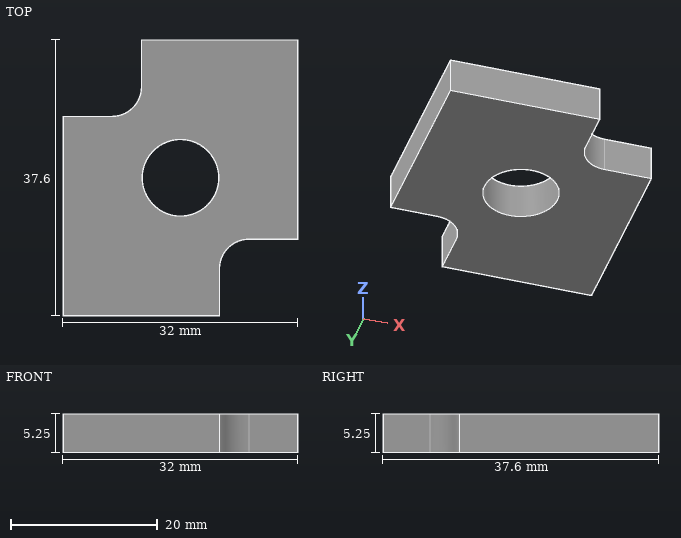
import cadquery as cq

width = 32.0
length = 37.6
thickness = 5.25

hole_diameter = 10.4

notch_width = width / 3
notch_length = 10.4
notch_radius = 4.0


def corner_notch():
    """Cutter for the -X, +Y corner, rounded at its inner corner."""
    return (
        cq.Workplane("XY")
        .box(2 * notch_width, 2 * notch_length, thickness)
        .edges("|Z")
        .edges(">X and <Y")
        .fillet(notch_radius)
        .translate((-width / 2, length / 2, 0))
    )


plate = cq.Workplane("XY").box(width, length, thickness)
plate = plate.faces(">Z").workplane().hole(hole_diameter)

for angle in (0, 180):
    plate = plate.cut(corner_notch().rotate((0, 0, 0), (0, 0, 1), angle))

result = plate